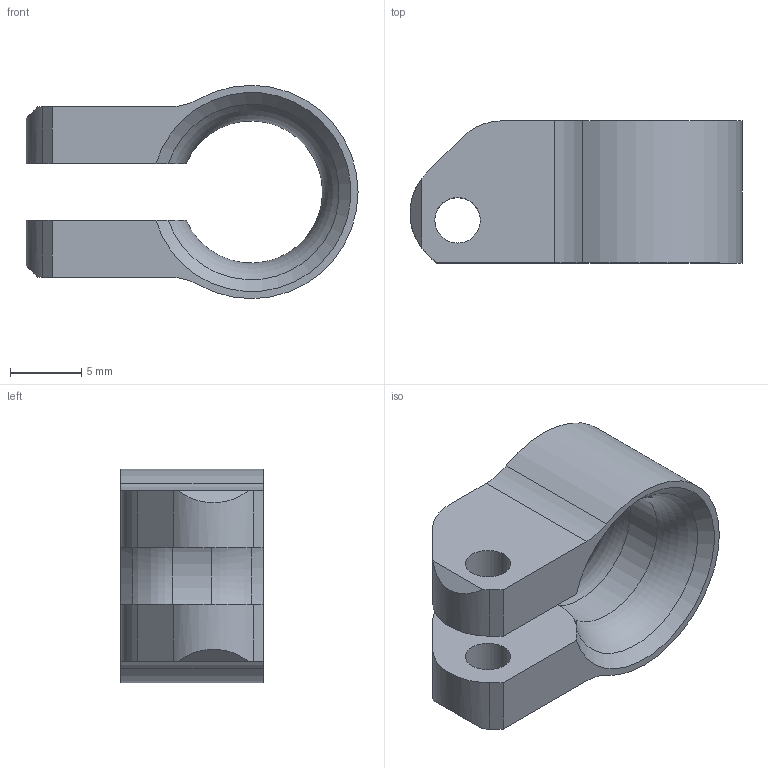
import cadquery as cq
import math

width = 10.0
ring_radius = 7.5
bore_radius = 5.0
bore_flare = 2.0
bore_blend_radius = 4.0

arm_half_height = 6.0
slot_height = 4.0
neck_radius = 4.0

nose_apex_x = -17.5
nose_apex_y = -1.5
nose_radius = 4.0
shoulder_radius = 4.0
nose_bevel_x = -15.0

hole_diameter = 3.2
hole_x = -12.5
hole_y = -2.0

half_width = width / 2
flare_angle = math.radians(45)


def make_body():
    """Ring and arms as one XZ profile with the concave necks, extruded along Y."""
    neck_centre_z = arm_half_height + neck_radius
    centre_distance = ring_radius + neck_radius
    neck_centre_x = -math.sqrt(centre_distance**2 - neck_centre_z**2)
    ring_share = ring_radius / centre_distance
    ring_tangent_x = neck_centre_x * ring_share
    ring_tangent_z = neck_centre_z * ring_share
    chord_x = (neck_centre_x + ring_tangent_x) / 2 - neck_centre_x
    chord_z = (arm_half_height + ring_tangent_z) / 2 - neck_centre_z
    reach = neck_radius / math.hypot(chord_x, chord_z)
    neck_mid_x = neck_centre_x + chord_x * reach
    neck_mid_z = neck_centre_z + chord_z * reach

    profile = (
        cq.Workplane("XZ")
        .moveTo(nose_apex_x, -arm_half_height)
        .lineTo(neck_centre_x, -arm_half_height)
        .threePointArc((neck_mid_x, -neck_mid_z), (ring_tangent_x, -ring_tangent_z))
        .threePointArc((ring_radius, 0), (ring_tangent_x, ring_tangent_z))
        .threePointArc((neck_mid_x, neck_mid_z), (neck_centre_x, arm_half_height))
        .lineTo(nose_apex_x, arm_half_height)
        .close()
    )
    return profile.extrude(half_width, both=True)


def make_plan_envelope():
    """Arm outline in XY with the rounded nose and shoulder, taller than the part."""
    shoulder_corner_x = nose_apex_x + half_width - nose_apex_y
    lower_corner_x = nose_apex_x + half_width + nose_apex_y
    envelope = (
        cq.Workplane("XY")
        .moveTo(nose_apex_x, nose_apex_y)
        .lineTo(lower_corner_x, -half_width)
        .lineTo(ring_radius, -half_width)
        .lineTo(ring_radius, half_width)
        .lineTo(shoulder_corner_x, half_width)
        .close()
        .extrude(ring_radius, both=True)
    )
    nose_edge = cq.selectors.NearestToPointSelector((nose_apex_x, nose_apex_y, 0))
    shoulder_edge = cq.selectors.NearestToPointSelector((shoulder_corner_x, half_width, 0))
    envelope = envelope.edges("|Z").edges(nose_edge).fillet(nose_radius)
    return envelope.edges("|Z").edges(shoulder_edge).fillet(shoulder_radius)


def make_bore():
    """Solid of revolution about Y: cylinder, tangent blend and 45 degree flare at each end."""
    corner_y = half_width - bore_flare
    mid_angle = flare_angle / 2
    tangent_length = bore_blend_radius * math.tan(mid_angle)
    blend_start_y = corner_y - tangent_length
    blend_end_y = corner_y + tangent_length * math.cos(flare_angle)
    blend_end_r = bore_radius + tangent_length * math.sin(flare_angle)
    blend_mid_y = blend_start_y + bore_blend_radius * math.sin(mid_angle)
    blend_mid_r = bore_radius + bore_blend_radius * (1 - math.cos(mid_angle))
    mouth_radius = bore_radius + bore_flare
    return (
        cq.Workplane("XY")
        .moveTo(0, -half_width)
        .lineTo(mouth_radius, -half_width)
        .lineTo(blend_end_r, -blend_end_y)
        .threePointArc((blend_mid_r, -blend_mid_y), (bore_radius, -blend_start_y))
        .lineTo(bore_radius, blend_start_y)
        .threePointArc((blend_mid_r, blend_mid_y), (blend_end_r, blend_end_y))
        .lineTo(mouth_radius, half_width)
        .lineTo(0, half_width)
        .close()
        .revolve(360, (0, 0, 0), (0, 1, 0))
    )


def make_slot():
    """Gap between the arms, from the nose to the ring centre."""
    slot_length = -nose_apex_x
    return cq.Workplane("XY").box(slot_length, width, slot_height).translate((-slot_length / 2, 0, 0))


def make_nose_bevel(side):
    """45 degree wedge off the outer edge of one nose; side is +1 (top) or -1 (bottom)."""
    bevel_size = nose_bevel_x - nose_apex_x
    return (
        cq.Workplane("XZ")
        .moveTo(nose_bevel_x, side * arm_half_height)
        .lineTo(nose_apex_x, side * arm_half_height)
        .lineTo(nose_apex_x, side * (arm_half_height - bevel_size))
        .close()
        .extrude(half_width, both=True)
    )


def make_screw_hole():
    """Clearance hole through both arms."""
    hole = cq.Workplane("XY").center(hole_x, hole_y).circle(hole_diameter / 2)
    return hole.extrude(arm_half_height, both=True)


result = make_body().intersect(make_plan_envelope())
result = result.cut(make_bore()).cut(make_slot()).cut(make_screw_hole())
for side in (1, -1):
    result = result.cut(make_nose_bevel(side))